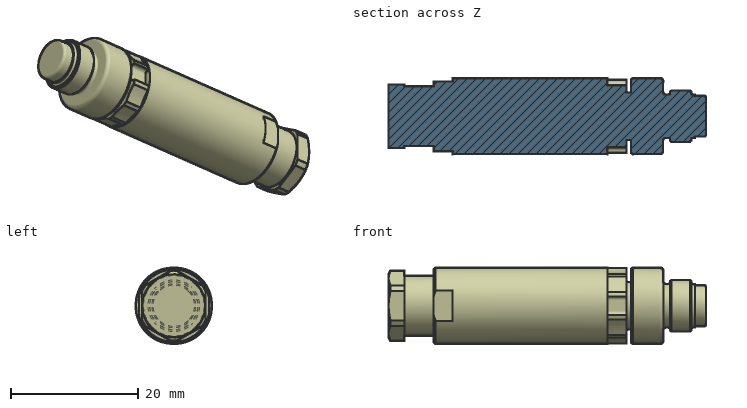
import cadquery as cq
import math

TOTAL_LENGTH = 49.9

HEX_ACROSS_FLATS = 10.0
HEX_CORNER_RADIUS = 5.5
HEX_END = 2.5
HEX_FACE_RADIUS = 4.95
HEX_CHAMFER_ANGLE = 30.0
CAP_NECK_RADIUS = 4.75

SLEEVE_RADIUS = 6.0
SLEEVE_START = 7.1
SLEEVE_END = 34.4
SLEEVE_CHAMFER_LENGTH = 0.3
SLEEVE_CHAMFER_DEPTH = 0.3
WRENCH_FLAT_DISTANCE = 5.5
WRENCH_FLAT_LENGTH = 3.0

COLLAR_GRIPS = 10
COLLAR_RADIUS = 5.94
COLLAR_END = 37.4
COLLAR_SCALLOP_RADIUS = 8.5
COLLAR_SCALLOP_FLOOR = 5.62
NOTCH_FLOOR_DISTANCE = 4.9
NOTCH_WIDTH = 2.9
NOTCH_FILLET = 0.6

RING_NECK_RADIUS = 3.75
RING_NECK_FILLET = 0.2
RING_START = 38.1
RING_END = 43.2
RING_RADIUS = 6.0
RING_CHAMFER_LENGTH = 0.3
RING_CHAMFER_DEPTH = 0.2
RING_FILLET = 0.6

PLUG_NECK_RADIUS = 3.45
PLUG_NECK_FILLET = 0.3
BARREL_RADIUS = 4.05
BARREL_START = 44.2
BARREL_END = 47.6
BARREL_CHAMFER = 0.25
BARREL_ROOT_FILLET = 0.15
SHOULDER_END = 48.15
TIP_RADIUS = 3.25
TIP_FILLET = 0.4


def cylinder(start, end, radius):
    """Cylinder along X between two stations."""
    return cq.Workplane("YZ", origin=(start, 0, 0)).circle(radius).extrude(end - start)


def hexagonal_prism(start, end, across_flats):
    """Hexagonal prism along X with two of its flats facing +Y and -Y."""
    corner_radius = across_flats / 2 / math.cos(math.pi / 6)
    corners = []
    for index in range(6):
        angle = (2 * index + 1) * math.pi / 6
        corners.append((corner_radius * math.cos(angle), corner_radius * math.sin(angle)))
    return cq.Workplane("YZ", origin=(start, 0, 0)).polyline(corners).close().extrude(end - start)


def revolved(profile):
    """Turn a closed (x, radius) profile around the X axis."""
    return profile.close().revolve(360, (0, 0, 0), (1, 0, 0))


def make_cap():
    """Hexagon with rounded corners, a conical end chamfer and a plain neck."""
    chamfer_depth = HEX_CORNER_RADIUS - HEX_FACE_RADIUS
    chamfer_length = chamfer_depth * math.tan(math.radians(HEX_CHAMFER_ANGLE))
    envelope = revolved(
        cq.Workplane("XY")
        .moveTo(0, 0)
        .lineTo(0, HEX_FACE_RADIUS)
        .lineTo(chamfer_length, HEX_CORNER_RADIUS)
        .lineTo(HEX_END, HEX_CORNER_RADIUS)
        .lineTo(HEX_END, 0)
    )
    hexagon = hexagonal_prism(0, HEX_END, HEX_ACROSS_FLATS).intersect(envelope)
    return hexagon.union(cylinder(HEX_END, SLEEVE_START, CAP_NECK_RADIUS))


def make_sleeve():
    """Long cylinder, chamfered at its start, with wrench flats on both Y sides."""
    sleeve = revolved(
        cq.Workplane("XY")
        .moveTo(SLEEVE_START, 0)
        .lineTo(SLEEVE_START, SLEEVE_RADIUS - SLEEVE_CHAMFER_DEPTH)
        .lineTo(SLEEVE_START + SLEEVE_CHAMFER_LENGTH, SLEEVE_RADIUS)
        .lineTo(SLEEVE_END, SLEEVE_RADIUS)
        .lineTo(SLEEVE_END, 0)
    )
    flat_depth = SLEEVE_RADIUS - WRENCH_FLAT_DISTANCE
    for side in (-1, 1):
        flat_cut = cq.Workplane("XY").box(WRENCH_FLAT_LENGTH, flat_depth, 2 * SLEEVE_RADIUS)
        flat_x = SLEEVE_START + WRENCH_FLAT_LENGTH / 2
        flat_y = side * (WRENCH_FLAT_DISTANCE + flat_depth / 2)
        sleeve = sleeve.cut(flat_cut.translate((flat_x, flat_y, 0)))
    return sleeve


def make_collar():
    """Round collar with shallow scallops all around, replaced by coved notches on both Y sides."""
    length = COLLAR_END - SLEEVE_END
    collar = cylinder(SLEEVE_END, COLLAR_END, COLLAR_RADIUS)
    scallop_distance = COLLAR_SCALLOP_FLOOR + COLLAR_SCALLOP_RADIUS
    scallop = cylinder(SLEEVE_END, COLLAR_END, COLLAR_SCALLOP_RADIUS).translate((0, scallop_distance, 0))
    notch_depth = COLLAR_RADIUS - NOTCH_FLOOR_DISTANCE
    notch = (
        cq.Workplane("XY")
        .box(length, notch_depth, NOTCH_WIDTH)
        .edges("|X and <Y")
        .fillet(NOTCH_FILLET)
        .translate((SLEEVE_END + length / 2, NOTCH_FLOOR_DISTANCE + notch_depth / 2, 0))
    )
    for index in range(COLLAR_GRIPS):
        is_notch = index % (COLLAR_GRIPS // 2) == 0
        cutter = notch if is_notch else scallop
        angle = index * 360 / COLLAR_GRIPS
        collar = collar.cut(cutter.rotate((0, 0, 0), (1, 0, 0), angle))
    return collar


def make_connector():
    """Turned connector end: neck, coupling ring, plug barrel and tip.

    Positive arc radii round off outer edges, negative ones fill inner corners.
    """
    return revolved(
        cq.Workplane("XY")
        .moveTo(COLLAR_END, 0)
        .lineTo(COLLAR_END, RING_NECK_RADIUS + RING_NECK_FILLET)
        .radiusArc((COLLAR_END + RING_NECK_FILLET, RING_NECK_RADIUS), -RING_NECK_FILLET)
        .lineTo(RING_START, RING_NECK_RADIUS)
        .lineTo(RING_START, RING_RADIUS - RING_CHAMFER_DEPTH)
        .lineTo(RING_START + RING_CHAMFER_LENGTH, RING_RADIUS)
        .lineTo(RING_END - RING_FILLET, RING_RADIUS)
        .radiusArc((RING_END, RING_RADIUS - RING_FILLET), RING_FILLET)
        .lineTo(RING_END, PLUG_NECK_RADIUS + PLUG_NECK_FILLET)
        .radiusArc((RING_END + PLUG_NECK_FILLET, PLUG_NECK_RADIUS), -PLUG_NECK_FILLET)
        .lineTo(BARREL_START - BARREL_ROOT_FILLET, PLUG_NECK_RADIUS)
        .radiusArc((BARREL_START, PLUG_NECK_RADIUS + BARREL_ROOT_FILLET), -BARREL_ROOT_FILLET)
        .lineTo(BARREL_START, BARREL_RADIUS - BARREL_CHAMFER)
        .lineTo(BARREL_START + BARREL_CHAMFER, BARREL_RADIUS)
        .lineTo(BARREL_END - BARREL_CHAMFER, BARREL_RADIUS)
        .lineTo(BARREL_END, BARREL_RADIUS - BARREL_CHAMFER)
        .lineTo(BARREL_END, PLUG_NECK_RADIUS + BARREL_ROOT_FILLET)
        .radiusArc((BARREL_END + BARREL_ROOT_FILLET, PLUG_NECK_RADIUS), -BARREL_ROOT_FILLET)
        .lineTo(SHOULDER_END, PLUG_NECK_RADIUS)
        .lineTo(SHOULDER_END, TIP_RADIUS)
        .lineTo(TOTAL_LENGTH - TIP_FILLET, TIP_RADIUS)
        .radiusArc((TOTAL_LENGTH, TIP_RADIUS - TIP_FILLET), TIP_FILLET)
        .lineTo(TOTAL_LENGTH, 0)
    )


result = make_cap().union(make_sleeve()).union(make_collar()).union(make_connector())